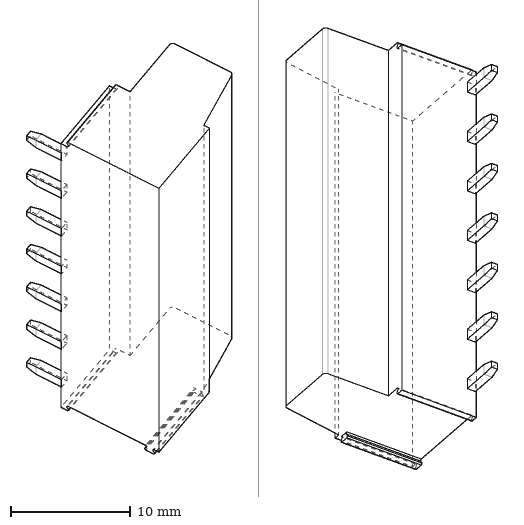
import cadquery as cq

total_height = 35.6
rail_depth = 0.6
housing_height = total_height - rail_depth

base_width = 9.8
total_depth = 13.8
pin_side_ledge_y = 7.45
far_side_ledge_y = 7.75
tower_left_x = 2.05
tower_right_x = 9.22
tower_top_right_x = 8.2
tower_edge_radius = 0.32

corner_rail_neck = 0.57
rail_flare = 0.2
rail_bevel_width = 0.1
rail_bevel_height = 0.15
foot_center_x = 8.85
foot_neck_width = 0.6

pin_count = 7
pin_row_length = 30.05
pin_pitch = pin_row_length / (pin_count - 1)
pin_length = 3.55
pin_tip_length = 1.0
pin_depth = 0.82
pin_height = 1.0
pin_tip_depth = 0.6
pin_tip_height = 0.6
pin_center_y = 0.5


def flared_side(neck_x, root_z, direction):
    """Points down one flared rail side: bevelled root, narrow neck, widest lip, bevelled bottom edge."""
    lip_x = neck_x + direction * rail_flare
    bottom_z = root_z - rail_depth
    return [
        (neck_x + direction * rail_bevel_width, root_z),
        (neck_x, root_z - rail_bevel_height),
        (lip_x, bottom_z + rail_bevel_height),
        (lip_x - direction * rail_bevel_width, bottom_z),
    ]


def extrude_base_section(points):
    """Extrude an XZ outline along +Y over the depth of the base."""
    return cq.Workplane("XZ").polyline(points).close().extrude(-pin_side_ledge_y)


def make_housing():
    outline = [
        (0, 0),
        (base_width, 0),
        (base_width, far_side_ledge_y),
        (tower_right_x, far_side_ledge_y),
        (tower_top_right_x, total_depth),
        (tower_left_x, total_depth),
        (tower_left_x, pin_side_ledge_y),
        (0, pin_side_ledge_y),
    ]
    base_plane = cq.Workplane("XY").workplane(offset=rail_depth)
    housing = base_plane.polyline(outline).close().extrude(housing_height)
    return housing.edges("|Z and >Y").fillet(tower_edge_radius)


def make_corner_section(root_z):
    """Corner rail; the same shape is cut from the top so that housings can be stacked."""
    side = flared_side(corner_rail_neck, root_z, 1)
    return extrude_base_section([(0, root_z), *side, (0, root_z - rail_depth)])


def make_foot():
    """Dovetail foot near the side away from the pins."""
    left = flared_side(foot_center_x - foot_neck_width / 2, rail_depth, -1)
    right = flared_side(foot_center_x + foot_neck_width / 2, rail_depth, 1)
    return extrude_base_section(left + right[::-1])


def make_pin(center_z):
    root = cq.Workplane("YZ").center(pin_center_y, center_z)
    shank_length = pin_length - pin_tip_length
    shank = root.rect(pin_depth, pin_height).extrude(-shank_length)
    tip = (
        root.workplane(offset=-shank_length)
        .rect(pin_depth, pin_height)
        .workplane(offset=-pin_tip_length)
        .rect(pin_tip_depth, pin_tip_height)
        .loft(combine=False)
    )
    return shank.union(tip)


result = make_housing().cut(make_corner_section(total_height))
result = result.union(make_corner_section(rail_depth)).union(make_foot())
first_pin_z = rail_depth + (housing_height - pin_row_length) / 2
for index in range(pin_count):
    result = result.union(make_pin(first_pin_z + index * pin_pitch))